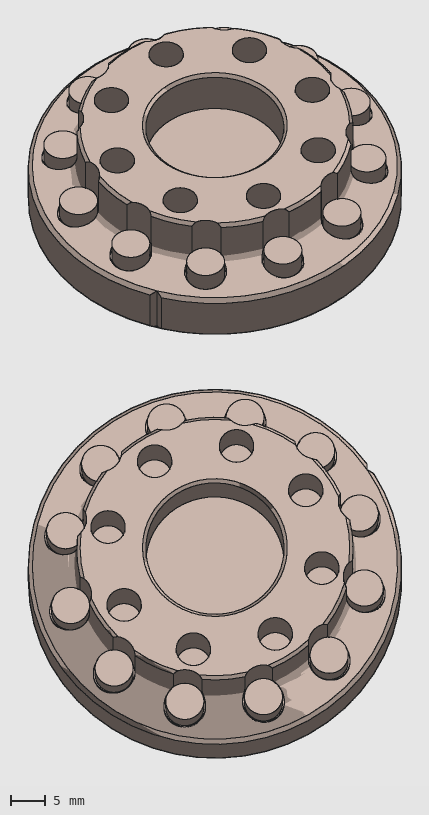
import cadquery as cq
import math

disc_radius = 27.0
total_height = 16.0
edge_chamfer = 0.5
rim_chamfer = 0.6
rim_height = 7.55
shoulder_inner_height = 8.7
boss_radius = 20.0
boss_fillet_width = 1.25
boss_fillet_top = 10.15

bore_radius = 10.0
recess_depth = 7.0
recess_floor = total_height - recess_depth

hole_count = 8
hole_circle_radius = 15.75
hole_radius = 2.5

pin_count = 12
pin_circle_radius = 22.05
pin_radius = 2.75
scallop_radius = 3.0
scallop_floor = rim_height
pin_top = 10.5

groove_width = 1.8
groove_depth = rim_chamfer
groove_floor = 0.2


def stepped_disc():
    arc_share = 1 - math.sqrt(0.5)
    fillet_height = boss_fillet_top - shoulder_inner_height
    fillet_middle = (
        boss_radius + boss_fillet_width * arc_share,
        shoulder_inner_height + fillet_height * arc_share,
    )
    return (
        cq.Workplane("XZ")
        .lineTo(disc_radius - edge_chamfer, 0)
        .lineTo(disc_radius, edge_chamfer)
        .lineTo(disc_radius, rim_height - rim_chamfer)
        .lineTo(disc_radius - rim_chamfer, rim_height)
        .lineTo(boss_radius + boss_fillet_width, shoulder_inner_height)
        .threePointArc(fillet_middle, (boss_radius, boss_fillet_top))
        .lineTo(boss_radius, total_height - edge_chamfer)
        .lineTo(boss_radius - edge_chamfer, total_height)
        .lineTo(0, total_height)
        .close()
        .revolve(360, (0, 0, 0), (0, 1, 0))
    )


def cylinder_ring(count, circle_radius, radius, bottom, top, first_angle):
    return (
        cq.Workplane("XY")
        .workplane(offset=bottom)
        .polarArray(circle_radius, first_angle, 360, count)
        .circle(radius)
        .extrude(top - bottom)
    )


def central_bore():
    mouth_radius = bore_radius + edge_chamfer
    return (
        cq.Workplane("XZ")
        .moveTo(0, recess_floor)
        .lineTo(bore_radius, recess_floor)
        .lineTo(bore_radius, total_height - edge_chamfer)
        .lineTo(mouth_radius, total_height)
        .lineTo(0, total_height)
        .close()
        .revolve(360, (0, 0, 0), (0, 1, 0))
    )


def index_groove():
    return (
        cq.Workplane("XY")
        .workplane(offset=groove_floor)
        .moveTo(-groove_width / 2, -disc_radius)
        .lineTo(0, groove_depth - disc_radius)
        .lineTo(groove_width / 2, -disc_radius)
        .close()
        .extrude(rim_height - groove_floor)
    )


pin_angle = 180 / pin_count
scallops = cylinder_ring(
    pin_count, pin_circle_radius, scallop_radius, scallop_floor, total_height, pin_angle
)
pins = cylinder_ring(pin_count, pin_circle_radius, pin_radius, scallop_floor, pin_top, pin_angle)
holes = cylinder_ring(hole_count, hole_circle_radius, hole_radius, recess_floor, total_height, 0)

result = (
    stepped_disc()
    .cut(scallops)
    .union(pins)
    .cut(holes)
    .cut(central_bore())
    .cut(index_groove())
)